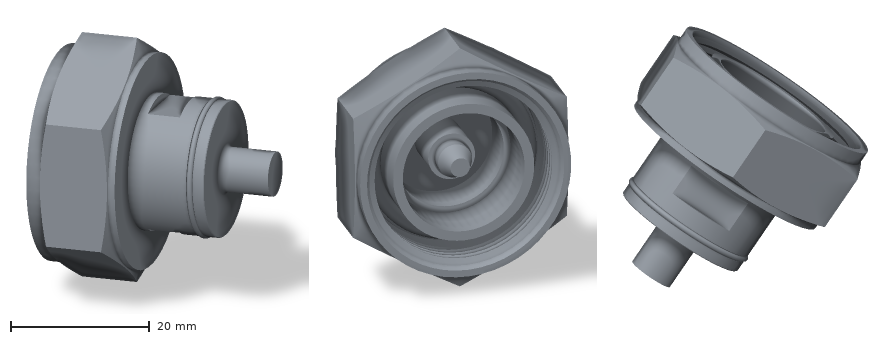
import cadquery as cq
import math


hex_corner_span = 36.9
nut_rim_radius = 15.8
nut_length = 13.47
hex_front = 2.05
hex_back = 12.45
hex_chamfer_length = 1.0

mouth_chamfer_height = 0.5
mouth_chamfer_length = 0.65
thread_major_radius = 14.25
thread_minor_radius = 13.3
thread_half_angle = math.radians(30)
thread_turns = 8
thread_pitch = 2 * (thread_major_radius - thread_minor_radius) * math.tan(thread_half_angle)

flange_radius = 13.1
flange_front = 8.2
flange_back = 10.07

barrel_radius = 10.0
barrel_back = 25.0
barrel_edge_chamfer = 0.1
flat_front = 14.8
flat_back = 19.65
flat_height = 8.7
ring_center = 22.85
ring_section_radius = 0.4
ring_crown_radius = 10.3
groove_width = 1.0
groove_depth = 0.37

total_length = 32.5
stem_radius = 3.3
stem_fillet = 0.5

tube_front = 1.05
tube_radius = 10.55
socket_radius = 9.1
socket_step = 8.65
inner_socket_radius = 8.1
socket_floor = 14.75
gasket_radius = 12.75
gasket_height = 1.1
gasket_round = 0.77

boss_radius = 3.5
boss_front = 7.53
pin_radius = 2.55
pin_tip_radius = 1.45
pin_front = 2.9
pin_cone_length = 2.73


def revolve_about_x(profile):
    """Close an XY profile (X along the axis, Y radial) and turn it once around X."""
    return profile.close().revolve(360, (0, 0, 0), (1, 0, 0))


def disc(radius, x_start, x_end):
    """Plain cylinder on the X axis between two stations."""
    return cq.Workplane("YZ", origin=(x_start, 0, 0)).circle(radius).extrude(x_end - x_start)



def make_hexagon():
    """Hexagon with corners up and down, its corners turned off by a cone at each end."""
    corner_radius = hex_corner_span / 2
    hexagon = (
        cq.Workplane("YZ", origin=(hex_front, 0, 0))
        .polygon(6, hex_corner_span)
        .extrude(hex_back - hex_front)
        .rotate((0, 0, 0), (1, 0, 0), 90)
    )
    turned_blank = revolve_about_x(
        cq.Workplane("XY")
        .moveTo(hex_front, 0)
        .lineTo(hex_front, nut_rim_radius)
        .lineTo(hex_front + hex_chamfer_length, corner_radius)
        .lineTo(hex_back - hex_chamfer_length, corner_radius)
        .lineTo(hex_back, nut_rim_radius)
        .lineTo(hex_back, 0)
    )
    return hexagon.intersect(turned_blank)


def make_nut_bore():
    """Chamfered mouth, thread as separate V rings, then a plain bore to the back of the flange."""
    profile = (
        cq.Workplane("XY")
        .moveTo(0, 0)
        .lineTo(0, thread_major_radius + mouth_chamfer_height)
    )
    for turn in range(thread_turns):
        x_root = mouth_chamfer_length + turn * thread_pitch
        profile = profile.lineTo(x_root, thread_major_radius)
        profile = profile.lineTo(x_root + thread_pitch / 2, thread_minor_radius)
    profile = profile.lineTo(flange_back, thread_minor_radius).lineTo(flange_back, 0)
    return revolve_about_x(profile)


def make_nut():
    """Hexagon on a round sleeve; the back wall fits around the barrel and bears on the flange."""
    nut = disc(nut_rim_radius, 0, nut_length).union(make_hexagon())
    back_hole = disc(barrel_radius, flange_back, nut_length)
    return nut.cut(make_nut_bore()).cut(back_hole)



def make_ring_groove():
    """Annular cutter for the groove that seats the ring."""
    start = ring_center - groove_width / 2
    end = start + groove_width
    return disc(barrel_radius, start, end).cut(disc(barrel_radius - groove_depth, start, end))


def make_wrench_flat(side):
    """Cutter for one flat; side is +1 for the top and -1 for the bottom."""
    flat_length = flat_back - flat_front
    flat_depth = barrel_radius - flat_height
    x_middle = flat_front + flat_length / 2
    z_middle = side * (flat_height + flat_depth / 2)
    cutter = cq.Workplane("XY").box(flat_length, 2 * barrel_radius, flat_depth)
    return cutter.translate((x_middle, 0, z_middle))


def make_barrel():
    """Round barrel with a chamfered back edge, a ring groove and two opposite wrench flats."""
    barrel = disc(barrel_radius, flange_front, barrel_back).faces(">X").chamfer(barrel_edge_chamfer)
    barrel = barrel.cut(make_ring_groove())
    for side in (1, -1):
        barrel = barrel.cut(make_wrench_flat(side))
    return barrel


def make_ring():
    """Ring of round section standing in the barrel groove."""
    section_height = ring_crown_radius - ring_section_radius
    return (
        cq.Workplane("XY", origin=(ring_center, section_height, 0))
        .circle(ring_section_radius)
        .revolve(360, (0, -section_height, 0), (1, -section_height, 0))
    )


def make_stem():
    """Rear stem with a concave fillet where it leaves the barrel."""
    return revolve_about_x(
        cq.Workplane("XY")
        .moveTo(barrel_back, 0)
        .lineTo(barrel_back, stem_radius + stem_fillet)
        .radiusArc((barrel_back + stem_fillet, stem_radius), -stem_fillet)
        .lineTo(total_length, stem_radius)
        .lineTo(total_length, 0)
    )


def make_gasket():
    """Collar around the tube, in front of the flange, with both front edges rounded."""
    gasket_front = flange_front - gasket_height
    gasket = disc(gasket_radius, gasket_front, flange_front)
    gasket = gasket.cut(disc(tube_radius, gasket_front, flange_front))
    return gasket.faces("<X").edges().fillet(gasket_round)


def make_pin():
    """Contact pin with a conical, flat-ended tip."""
    x_cone_end = pin_front + pin_cone_length
    return revolve_about_x(
        cq.Workplane("XY")
        .moveTo(pin_front, 0)
        .lineTo(pin_front, pin_tip_radius)
        .lineTo(x_cone_end, pin_radius)
        .lineTo(socket_floor, pin_radius)
        .lineTo(socket_floor, 0)
    )


def make_connector():
    """Flanged barrel with a stepped socket in front, a stem behind and a pin in the middle."""
    flange = disc(flange_radius, flange_front, flange_back)
    tube = disc(tube_radius, tube_front, flange_front)
    socket = disc(socket_radius, tube_front, socket_step)
    inner_socket = disc(inner_socket_radius, socket_step, socket_floor)
    boss = disc(boss_radius, boss_front, socket_floor)

    shell = make_barrel().union(flange).union(tube).union(make_gasket())
    shell = shell.cut(socket).cut(inner_socket)
    shell = shell.union(make_ring()).union(make_stem())
    return shell.union(boss).union(make_pin())


nut = make_nut()
connector = make_connector()

result = cq.Compound.makeCompound([nut.solids().val(), connector.solids().val()])